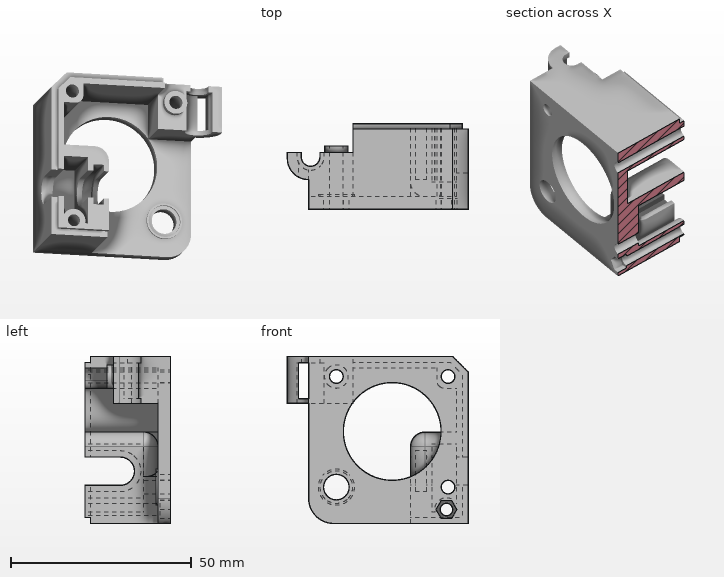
import cadquery as cq
import math

WIDTH = 44.2
HEIGHT = 46.3
DEPTH = 23.75
PLATE_THICKNESS = 3.5
WALL = 3.25
CORNER_CHAMFER = 4.35
CORNER_RADIUS = 7.0

LIP_LENGTH = 1.5
LIP_INSET = 1.65

OPENING_DIAMETER = 27.0
OPENING_X = 23.15
OPENING_Z = 25.5
SCREW_PITCH_X = 30.9
SCREW_PITCH_Z = 30.6
SCREW_DIAMETER = 3.7
BOSS_DIAMETER = 6.5
LEFT_X = OPENING_X - SCREW_PITCH_X / 2
RIGHT_X = OPENING_X + SCREW_PITCH_X / 2
LOWER_Z = 10.1
UPPER_Z = LOWER_Z + SCREW_PITCH_Z

ACCESS_DIAMETER = 7.0
ACCESS_RING_DIAMETER = 10.0
ACCESS_RING_HEIGHT = 0.55
ACCESS_RING_BORE = 9.0

NUT_X = 38.15
NUT_Z = 3.9
NUT_ACROSS_FLATS = 5.0
NUT_DEPTH = 3.0
NUT_SCREW_DIAMETER = 3.4

BLOCK_WIDTH = 12.3
BLOCK_DEPTH = 15.8
BLOCK_HEIGHT = 13.0
BLOCK_BOTTOM = HEIGHT - BLOCK_HEIGHT
BLOCK_BOSS_HEIGHT = 1.8
HOOK_REACH = 5.9
HOOK_CENTER_Y = 14.1
GROOVE_X = 0.57
GROOVE_Y = 14.5
GROOVE_RADIUS = 2.55
WINDOW_WIDTH = 2.75
RECESS_RADIUS = 3.7
WINDOW_TOP_MARGIN = 1.8
WINDOW_BOTTOM_MARGIN = 1.3

PILLAR_FLAT_X = 35.5
PILLAR_FILLET = 2.15

HOUSING_X = 28.2
HOUSING_TOP = 25.35
HOUSING_FILLET = 4.05
HOUSING_SIDE_WALL = 5.9
SLOT_HEIGHT = 7.75
SLOT_Z = 14.5
SLOT_FRONT = 10.05
FLANGE_RIM = 1.8
FLANGE_SETBACK = 1.4
FLANGE_WIDTH = 3.0


def box(x0, x1, y0, y1, z0, z1):
    """Block between two opposite corners."""
    return cq.Workplane("XY").box(x1 - x0, y1 - y0, z1 - z0, centered=False).translate((x0, y0, z0))


def rod(x, z, diameter, y0, y1):
    """Cylinder along Y."""
    circle = cq.Workplane("XZ", origin=(x, y0, z)).circle(diameter / 2)
    return circle.extrude(y0 - y1)


def outline(inset, y0, y1):
    """Prism of the outer rectangle with its chamfered upper right corner, inset on every side."""
    left, right = inset, WIDTH - inset
    bottom, top = inset, HEIGHT - inset
    chamfer = CORNER_CHAMFER - inset * (2 - math.sqrt(2))
    points = [
        (left, bottom),
        (right, bottom),
        (right, top - chamfer),
        (right - chamfer, top),
        (left, top),
    ]
    return cq.Workplane("XZ", origin=(0, y0, 0)).polyline(points).close().extrude(y0 - y1)


def make_plate():
    plate = outline(0, 0, PLATE_THICKNESS)
    return plate.edges("|Y and <X and <Z").fillet(CORNER_RADIUS)


def make_walls():
    """Top and right walls, following the plate outline."""
    shell = outline(0, 0, DEPTH).cut(outline(WALL, PLATE_THICKNESS, DEPTH))
    top = box(BLOCK_WIDTH, WIDTH, 0, DEPTH, HEIGHT - CORNER_CHAMFER - WALL, HEIGHT)
    right = box(WIDTH - CORNER_CHAMFER - WALL, WIDTH, 0, DEPTH, 0, HEIGHT)
    return shell.intersect(top.union(right))


def make_upper_left_block():
    block = box(0, BLOCK_WIDTH, 0, BLOCK_DEPTH, BLOCK_BOTTOM, HEIGHT)
    return block.union(rod(LEFT_X, UPPER_Z, BOSS_DIAMETER, 0, BLOCK_DEPTH + BLOCK_BOSS_HEIGHT))


def make_hook():
    """Quarter round hook on the left of the upper left block."""
    profile = (
        cq.Workplane("XY", origin=(0, 0, BLOCK_BOTTOM))
        .moveTo(0, BLOCK_DEPTH)
        .lineTo(-HOOK_REACH, BLOCK_DEPTH)
        .lineTo(-HOOK_REACH, HOOK_CENTER_Y)
        .radiusArc((0, HOOK_CENTER_Y - HOOK_REACH), -HOOK_REACH)
        .close()
    )
    return profile.extrude(BLOCK_HEIGHT)


def groove_prism(radius, z0, z1):
    """Vertical round bottomed groove behind the hook, open towards the back."""
    groove = cq.Workplane("XY", origin=(GROOVE_X, GROOVE_Y, z0)).circle(radius).extrude(z1 - z0)
    return groove.union(box(GROOVE_X - radius, GROOVE_X + radius, GROOVE_Y, BLOCK_DEPTH, z0, z1))


def make_hook_groove():
    """Groove over the full height, widened everywhere below the top edge of the window."""
    groove = groove_prism(GROOVE_RADIUS, BLOCK_BOTTOM, HEIGHT)
    return groove.union(groove_prism(RECESS_RADIUS, BLOCK_BOTTOM, HEIGHT - WINDOW_TOP_MARGIN))


def make_hook_window():
    return box(
        -WINDOW_WIDTH, 0, 0, BLOCK_DEPTH,
        BLOCK_BOTTOM + WINDOW_BOTTOM_MARGIN, HEIGHT - WINDOW_TOP_MARGIN,
    )


def make_upper_right_pillar():
    """Screw pillar filling the upper right corner, with a rounded lower left edge."""
    pillar = box(PILLAR_FLAT_X, WIDTH, 0, DEPTH, UPPER_Z - BOSS_DIAMETER / 2, HEIGHT)
    return pillar.edges("|Y and <X and <Z").fillet(PILLAR_FILLET).intersect(outline(0, 0, DEPTH))


def slot_prism(height, x0, x1):
    """Slot along X, open at the back and round at the front, concentric for every height."""
    center_y = SLOT_FRONT + SLOT_HEIGHT / 2
    round_end = cq.Workplane("YZ", origin=(x0, center_y, SLOT_Z)).circle(height / 2).extrude(x1 - x0)
    return round_end.union(box(x0, x1, center_y, DEPTH, SLOT_Z - height / 2, SLOT_Z + height / 2))


def make_housing():
    """Hollow lower right housing, rounded where it reaches into the main opening."""
    front_wall_end = PLATE_THICKNESS + HOUSING_FILLET
    sharp = box(HOUSING_X, WIDTH, PLATE_THICKNESS, DEPTH, 0, HOUSING_TOP)
    rounded = (
        sharp.edges("(|Y and <X and >Z) or (|Z and <X and <Y) or (|X and <Y and >Z)")
        .fillet(HOUSING_FILLET)
    )
    clearance = rod(OPENING_X, OPENING_Z, OPENING_DIAMETER, PLATE_THICKNESS, front_wall_end)
    front = box(HOUSING_X, WIDTH, PLATE_THICKNESS, front_wall_end, 0, HOUSING_TOP)
    body = rounded.union(front.cut(clearance))
    cavity = box(
        HOUSING_X + HOUSING_SIDE_WALL, WIDTH - WALL,
        front_wall_end, DEPTH, WALL, HOUSING_TOP - WALL,
    )
    body = body.cut(cavity).union(rod(NUT_X, NUT_Z, BOSS_DIAMETER, PLATE_THICKNESS, DEPTH))
    flange_x = HOUSING_X + FLANGE_SETBACK
    flange = slot_prism(SLOT_HEIGHT + 2 * FLANGE_RIM, flange_x, flange_x + FLANGE_WIDTH)
    return body.cut(flange).intersect(outline(0, 0, DEPTH))


def make_rear_rebate():
    """Material removed around the rear rim along the top, right and bottom."""
    start = DEPTH - LIP_LENGTH
    left_part = box(0, WIDTH / 2, start, DEPTH, LIP_INSET, HEIGHT - LIP_INSET)
    kept = outline(LIP_INSET, start, DEPTH).union(left_part)
    return outline(0, start, DEPTH).cut(kept)


def make_access_hole():
    """Lower left hole, with a wider bore inside the ring."""
    ring_bore = rod(LEFT_X, LOWER_Z, ACCESS_RING_BORE, PLATE_THICKNESS, PLATE_THICKNESS + ACCESS_RING_HEIGHT)
    return rod(LEFT_X, LOWER_Z, ACCESS_DIAMETER, 0, PLATE_THICKNESS).union(ring_bore)


def make_holes():
    holes = rod(OPENING_X, OPENING_Z, OPENING_DIAMETER, 0, PLATE_THICKNESS)
    for x, z in [(LEFT_X, UPPER_Z), (RIGHT_X, UPPER_Z), (RIGHT_X, LOWER_Z)]:
        holes = holes.union(rod(x, z, SCREW_DIAMETER, 0, DEPTH))
    holes = holes.union(rod(NUT_X, NUT_Z, NUT_SCREW_DIAMETER, 0, DEPTH))
    corner_diameter = NUT_ACROSS_FLATS / math.cos(math.pi / 6)
    nut = cq.Workplane("XZ", origin=(NUT_X, 0, NUT_Z)).polygon(6, corner_diameter).extrude(-NUT_DEPTH)
    return holes.union(nut)


access_ring = rod(LEFT_X, LOWER_Z, ACCESS_RING_DIAMETER, 0, PLATE_THICKNESS + ACCESS_RING_HEIGHT)
through_slot = slot_prism(SLOT_HEIGHT, HOUSING_X, WIDTH)

result = (
    make_plate()
    .union(make_walls())
    .union(make_upper_left_block())
    .union(make_hook())
    .union(make_upper_right_pillar())
    .union(make_housing())
    .union(access_ring)
    .cut(make_hook_groove())
    .cut(make_hook_window())
    .cut(through_slot)
    .cut(make_rear_rebate())
    .cut(make_holes())
    .cut(make_access_hole())
)